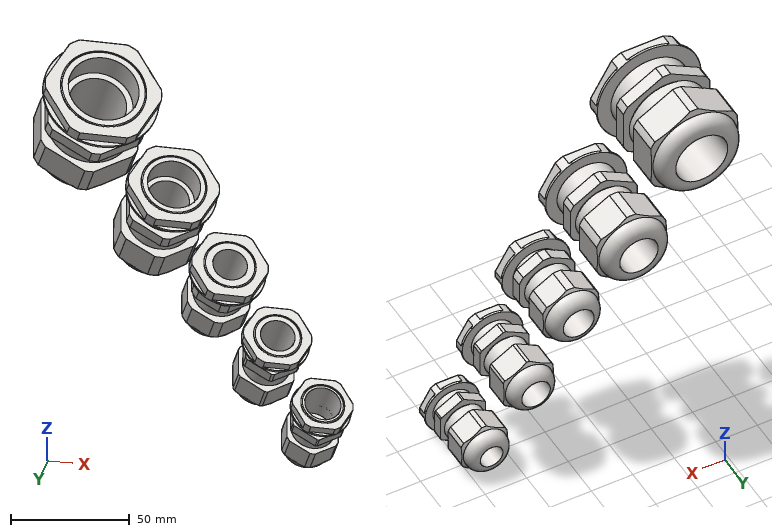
import cadquery as cq


LARGE_LEVELS = dict(collar_front=15.2, collar_back=21.4, cap_front=29.9, cap_back=45.8,
                    top=51.6, bore_depth=12.7, dome_round=5.6)
MEDIUM_LEVELS = dict(collar_front=9.8, collar_back=15.4, cap_front=24.0, cap_back=36.6,
                     top=42.8, bore_depth=24.0, dome_round=6.0)
SMALL_LEVELS = dict(collar_front=9.2, collar_back=14.3, cap_front=21.2, cap_back=33.3,
                    top=39.0, bore_depth=21.2, dome_round=4.9)

GLANDS = [
    dict(x=0, z=0, levels=LARGE_LEVELS, thread_radius=18.5, bore_radius=15.2, cable_radius=12.5,
         collar_flat=20.8, collar_corner=23.0, cap_flat=20.8, cap_corner=23.0,
         nut_flat=22.8, nut_corner=25.0, nut_height=6.2),
    dict(x=30.3, z=-43.3, levels=LARGE_LEVELS, thread_radius=14.1, bore_radius=11.5, cable_radius=9.2,
         collar_flat=16.1, collar_corner=17.8, cap_flat=16.7, cap_corner=18.1,
         nut_flat=18.0, nut_corner=19.5, nut_height=6.2),
    dict(x=54.4, z=-79.7, levels=MEDIUM_LEVELS, thread_radius=11.2, bore_radius=7.5, cable_radius=7.5,
         collar_flat=13.4, collar_corner=14.5, cap_flat=13.4, cap_corner=14.5,
         nut_flat=15.0, nut_corner=16.5, nut_height=6.2),
    dict(x=74.8, z=-112.2, levels=MEDIUM_LEVELS, thread_radius=10.3, bore_radius=7.5, cable_radius=6.9,
         collar_flat=11.8, collar_corner=13.2, cap_flat=12.0, cap_corner=13.4,
         nut_flat=13.5, nut_corner=14.7, nut_height=5.0),
    dict(x=94.2, z=-143.1, levels=SMALL_LEVELS, thread_radius=9.5, bore_radius=7.8, cable_radius=5.5,
         collar_flat=10.9, collar_corner=12.3, cap_flat=11.0, cap_corner=12.1,
         nut_flat=12.0, nut_corner=13.0, nut_height=5.0),
]

NUT_RIM = 1.0
THREAD_CHAMFER = 0.63
GROOVE_WIDTH = 0.7
GROOVE_DEPTH = 1.0
DOME_SETBACK = 0.5
CAP_CHAMFER_HEIGHT = 0.9
HEX_SIDES = 6
QUARTER_TURN = 90


def disc(radius, front, back):
    """Cylinder on the Y axis between two positions along Y."""
    return cq.Workplane("XZ", origin=(0, front, 0)).circle(radius).extrude(front - back)


def wrench_hexagon(flat, front, back):
    """Hexagonal prism on the Y axis with corners on +Z and -Z."""
    plane = cq.Workplane("XZ", origin=(0, front, 0))
    return plane.polygon(HEX_SIDES, 2 * flat, circumscribed=True).extrude(front - back)


def nut_hexagon(flat, front, back):
    """Hexagonal prism on the Y axis with corners on +X and -X."""
    return wrench_hexagon(flat, front, back).rotate((0, 0, 0), (0, 1, 0), QUARTER_TURN)


def turned(profile):
    """Solid of revolution about Y from (radius, y) points."""
    return cq.Workplane("XY").polyline(profile).close().revolve(360, (0, 0, 0), (0, 1, 0))


def make_stem(size):
    """Thread, groove and neck: the round core from the front end to the cap."""
    levels = size["levels"]
    radius = size["thread_radius"]
    groove_radius = radius - GROOVE_DEPTH
    groove_back = levels["collar_back"] + GROOVE_WIDTH
    return turned([
        (0, 0),
        (radius - THREAD_CHAMFER, 0),
        (radius, THREAD_CHAMFER),
        (radius, levels["collar_back"]),
        (groove_radius, levels["collar_back"]),
        (groove_radius, groove_back),
        (radius, groove_back),
        (radius, levels["cap_front"]),
        (0, levels["cap_front"]),
    ])


def make_collar(size):
    """Hexagonal wrench collar in the middle of the body."""
    front = size["levels"]["collar_front"]
    back = size["levels"]["collar_back"]
    blank = disc(size["collar_corner"], front, back)
    return blank.intersect(wrench_hexagon(size["collar_flat"], front, back))


def make_cap(size):
    """Hexagonal cap with bevelled back corners and a dome on its back face."""
    levels = size["levels"]
    front, back = levels["cap_front"], levels["cap_back"]
    dome_radius = size["cap_flat"] - DOME_SETBACK
    blank = turned([
        (0, front),
        (size["cap_corner"], front),
        (size["cap_corner"], back - CAP_CHAMFER_HEIGHT),
        (dome_radius, back),
        (0, back),
    ])
    dome = disc(dome_radius, back, levels["top"]).faces(">Y").edges().fillet(levels["dome_round"])
    return blank.intersect(wrench_hexagon(size["cap_flat"], front, back)).union(dome)


def make_gland_body(size):
    """Stem, collar and cap as one solid, bored out from end to end."""
    levels = size["levels"]
    body = make_stem(size).union(make_collar(size)).union(make_cap(size))
    bore = disc(size["bore_radius"], 0, levels["bore_depth"])
    cable_hole = disc(size["cable_radius"], 0, levels["top"])
    return body.cut(bore).cut(cable_hole).translate((size["x"], 0, size["z"]))


def make_lock_nut(size):
    """Round nut with six flats that stop short of a full round rim."""
    height = size["nut_height"]
    rim_front = height - NUT_RIM
    rim = disc(size["nut_corner"], rim_front, height)
    blank = disc(size["nut_corner"], 0, rim_front)
    grip = blank.intersect(nut_hexagon(size["nut_flat"], 0, rim_front))
    thread_hole = disc(size["thread_radius"], 0, height)
    return rim.union(grip).cut(thread_hole).translate((size["x"], 0, size["z"]))


gland_bodies = [make_gland_body(size).val() for size in GLANDS]
lock_nuts = [make_lock_nut(size).val() for size in GLANDS]

result = cq.Compound.makeCompound([*gland_bodies, *lock_nuts])